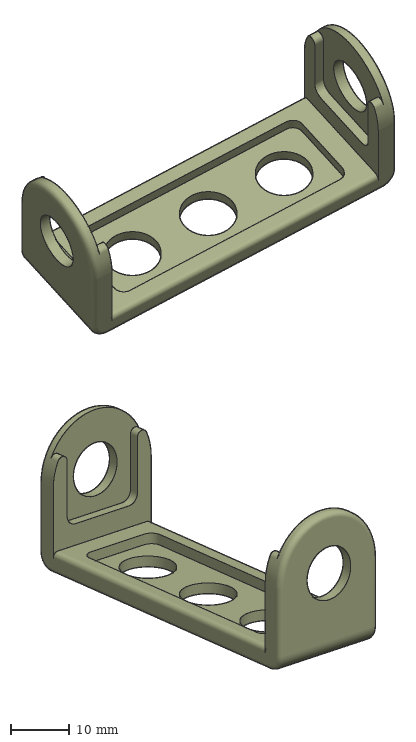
import cadquery as cq
import math

length = 63.45
width = 22.3
height = 27.0
floor_thickness = 4.0
upright_thickness = 3.9
web_thickness = 2.0
floor_pocket_depth = 1.95
pocket_margin = 4.0
edge_radius = 1.0
bend_radius = 3.05
hole_diameter = 9.9
hole_pitch = 15.85
floor_hole_count = 3
pocket_width = 16.0
pocket_corner_radius = 1.95
prong_tip_radius = 1.1

upright_pocket_depth = upright_thickness - web_thickness
arch_radius = width / 2
arch_center_z = height - arch_radius
inner_length = length - 2 * upright_thickness
floor_pocket_length = inner_length - 2 * pocket_margin
upright_pocket_bottom = floor_thickness + pocket_margin


def make_body():
    """Arch-shaped bar with bent bottom ends and rounded outer edges."""
    body = (
        cq.Workplane("XZ")
        .moveTo(-arch_radius, 0)
        .lineTo(arch_radius, 0)
        .lineTo(arch_radius, arch_center_z)
        .threePointArc((0, height), (-arch_radius, arch_center_z))
        .close()
        .extrude(length / 2, both=True)
    )
    body = body.faces("<Z").edges("|X").fillet(bend_radius)
    return body.faces("<Y or >Y").edges("not |X").fillet(edge_radius)


def hollow_out(body):
    """Clear the space between the uprights and round the floor's long edges."""
    cavity = cq.Workplane("XY").workplane(offset=floor_thickness).rect(width, inner_length).extrude(height)
    body = body.cut(cavity)
    floor_edges = cq.selectors.BoxSelector(
        (-width, -floor_thickness, floor_thickness - edge_radius / 2),
        (width, floor_thickness, floor_thickness + edge_radius / 2),
    )
    return body.edges("|Y").edges(floor_edges).fillet(edge_radius)


def make_floor_pocket():
    return (
        cq.Workplane("XY")
        .workplane(offset=floor_thickness - floor_pocket_depth)
        .rect(pocket_width, floor_pocket_length)
        .extrude(floor_pocket_depth)
        .edges("|Z")
        .fillet(pocket_corner_radius)
    )


def make_upright_pocket():
    """Open-topped recess in the inner face of the +Y upright, leaving two round-tipped prongs."""
    half_pocket = pocket_width / 2
    tip_x = half_pocket + prong_tip_radius
    tip_reach = arch_radius - prong_tip_radius
    tip_rise = math.sqrt(tip_reach**2 - tip_x**2)
    tip_z = arch_center_z + tip_rise
    touch_x = tip_x * arch_radius / tip_reach
    touch_z = arch_center_z + tip_rise * arch_radius / tip_reach

    pocket = (
        cq.Workplane("XZ", origin=(0, inner_length / 2 + upright_pocket_depth, 0))
        .rect(pocket_width, 2 * (height - upright_pocket_bottom))
        .extrude(upright_pocket_depth)
        .translate((0, 0, height))
        .edges("|Y and <Z")
        .fillet(pocket_corner_radius)
    )
    above_tips = (
        cq.Workplane("XZ", origin=(0, inner_length / 2 + upright_pocket_depth, 0))
        .moveTo(-half_pocket, tip_z)
        .lineTo(half_pocket, tip_z)
        .radiusArc((tip_x, tip_z + prong_tip_radius), prong_tip_radius)
        .radiusArc((touch_x, touch_z), prong_tip_radius)
        .lineTo(width, touch_z)
        .lineTo(width, 2 * height)
        .lineTo(-width, 2 * height)
        .lineTo(-width, touch_z)
        .lineTo(-touch_x, touch_z)
        .radiusArc((-tip_x, tip_z + prong_tip_radius), prong_tip_radius)
        .radiusArc((-half_pocket, tip_z), prong_tip_radius)
        .close()
        .extrude(upright_pocket_depth)
    )
    return pocket.union(above_tips)


def make_floor_holes():
    return (
        cq.Workplane("XY")
        .rarray(0.65, hole_pitch, 1, floor_hole_count)
        .circle(hole_diameter / 2)
        .extrude(floor_thickness)
    )


def make_upright_holes():
    return (
        cq.Workplane("XZ")
        .center(0, arch_center_z)
        .circle(hole_diameter / 2)
        .extrude(length / 2, both=True)
    )


upright_pocket = make_upright_pocket()

result = (
    hollow_out(make_body())
    .cut(make_floor_pocket())
    .cut(upright_pocket)
    .cut(upright_pocket.mirror("XZ"))
    .cut(make_floor_holes())
    .cut(make_upright_holes())
)